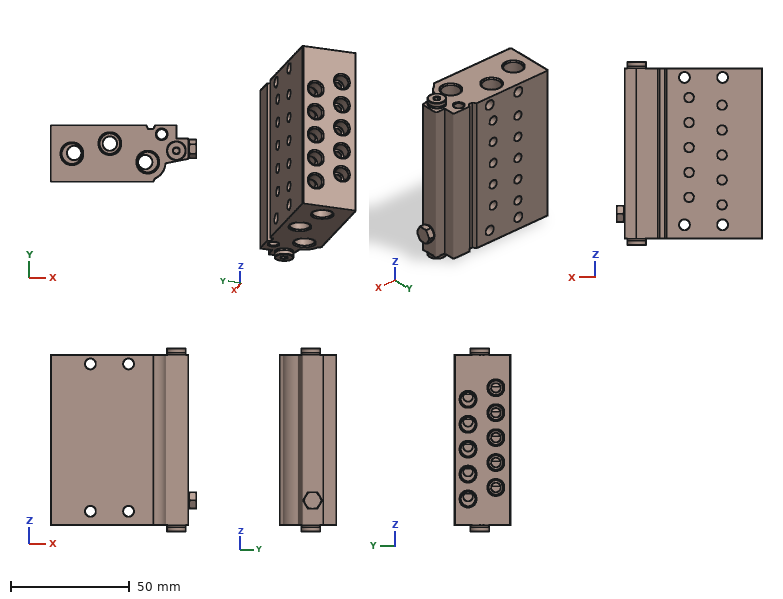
import cadquery as cq
import math


TOTAL_LENGTH = 77.0
PLUG_HEIGHT = 2.7
BLOCK_BOTTOM = PLUG_HEIGHT
BLOCK_TOP = TOTAL_LENGTH - PLUG_HEIGHT
BLOCK_LENGTH = BLOCK_TOP - BLOCK_BOTTOM
MID_Z = TOTAL_LENGTH / 2
THICKNESS = 23.9
TOTAL_WIDTH = 61.2

SHOULDER_X = 53.0
BOSS_X = 57.8
BOSS_BACK_Y = 18.3
BOSS_FRONT_Y = 9.6
BOSS_ROOT_Y = 7.8
FRONT_END_X = 43.05
PORT_WALL_START_X = 43.9
PORT_WALL_RADIUS = 7.55
CORNER_RADIUS = 0.55
VALLEY_RADIUS = 0.4
EDGE_CHAMFER_X = 0.3
EDGE_CHAMFER_Y = 0.5

GROOVE_X = 42.05
GROOVE_MOUTH = 3.85
GROOVE_FLOOR = 2.0
GROOVE_DEPTH = 1.6

END_PORTS = [
    ((9.85, 12.2), (8.9, 11.85)),
    ((24.9, 16.1), (24.9, 16.1)),
    ((39.7, 8.3), (40.8, 8.3)),
]
PORT_WALL_CENTRE = END_PORTS[-1][1]
PORT_BORE = 5.9
PORT_COUNTERBORE = 8.55
PORT_RIM = 9.7
PORT_COUNTERBORE_DEPTH = 6.9

PILOT_CENTRE = (46.7, 20.0)
PILOT_BORE = 4.2
PILOT_RIM = 5.0

MOUNT_DIAMETER = 4.5
MOUNT_XS = (16.7, 32.7)
MOUNT_ZS = (8.55, 70.45)

OUTLET_COUNT = 5
OUTLET_PITCH = 10.5
OUTLET_COUNTERBORE = 6.0
OUTLET_RIM = 7.2
OUTLET_COUNTERBORE_DEPTH = 6.15
OUTLET_BORE = 4.0
CHANNEL_DIAMETER = 4.0
CHANNEL_OVERRUN = 1.7

FRONT_OUTLET_Y = 6.3
FRONT_OUTLET_Z = 18.55
FRONT_BORE_RISE = 0
FRONT_CHANNEL = (30.8, 1.55)

BACK_OUTLET_Y = 18.0
BACK_OUTLET_Z = 13.7
BACK_BORE_RISE = (OUTLET_COUNTERBORE - OUTLET_BORE) / 2
BACK_CHANNEL = (16.95, 2.2)

PLUG_CENTRE = (52.8, 13.1)
PLUG_DIAMETER = 8.0
PLUG_COLLAR_DIAMETER = 7.9
PLUG_COLLAR_HEIGHT = 0.85
PLUG_CHAMFER = 0.2
SOCKET_RIM = 3.0
SOCKET_FLATS = 2.5
SOCKET_DEPTH = 2.3

HEX_CENTRE_Y = 13.85
HEX_CENTRE_Z = 13.1
HEX_FLATS = 6.9
HEX_CORNERS = HEX_FLATS / math.cos(math.pi / 6)
HEX_COLLAR_DIAMETER = HEX_FLATS
HEX_COLLAR_LENGTH = 0.4
HEX_CHAMFER = 0.3


def cylinder(base, direction, diameter, length):
    """Cylinder from a base point along a direction."""
    solid = cq.Solid.makeCylinder(diameter / 2, length, cq.Vector(*base), cq.Vector(*direction))
    return cq.Workplane(obj=solid)


def rim_cone(base, direction, rim, bore):
    """45-degree countersink that narrows from the rim to the bore diameter."""
    depth = (rim - bore) / 2
    solid = cq.Solid.makeCone(rim / 2, bore / 2, depth, cq.Vector(*base), cq.Vector(*direction))
    return cq.Workplane(obj=solid)


def make_profile():
    """Extruded cross section with its round wall around the last end port."""
    centre_x, centre_y = PORT_WALL_CENTRE

    def wall_point(angle):
        x = centre_x + PORT_WALL_RADIUS * math.cos(angle)
        y = centre_y + PORT_WALL_RADIUS * math.sin(angle)
        return (x, y)

    start_angle = -math.acos((PORT_WALL_START_X - centre_x) / PORT_WALL_RADIUS)
    end_angle = math.asin((BOSS_ROOT_Y - centre_y) / PORT_WALL_RADIUS)
    body = (
        cq.Workplane("XY", origin=(0, 0, BLOCK_BOTTOM))
        .moveTo(EDGE_CHAMFER_X, 0)
        .lineTo(FRONT_END_X, 0)
        .lineTo(*wall_point(start_angle))
        .threePointArc(wall_point((start_angle + end_angle) / 2), wall_point(end_angle))
        .lineTo(BOSS_X, BOSS_FRONT_Y)
        .lineTo(BOSS_X, BOSS_BACK_Y)
        .lineTo(SHOULDER_X, BOSS_BACK_Y)
        .lineTo(SHOULDER_X, THICKNESS)
        .lineTo(EDGE_CHAMFER_X, THICKNESS)
        .lineTo(0, THICKNESS - EDGE_CHAMFER_Y)
        .lineTo(0, EDGE_CHAMFER_Y)
        .close()
        .extrude(BLOCK_LENGTH)
    )
    corners = [(BOSS_X, BOSS_FRONT_Y), (BOSS_X, BOSS_BACK_Y), (SHOULDER_X, THICKNESS)]
    valleys = [wall_point(start_angle), wall_point(end_angle)]
    for points, radius in ((corners, CORNER_RADIUS), (valleys, VALLEY_RADIUS)):
        for x, y in points:
            nearest = cq.selectors.NearestToPointSelector((x, y, MID_Z))
            body = body.edges(nearest).fillet(radius)
    return body


def make_groove():
    """Trapezoidal groove along the back face."""
    floor_y = THICKNESS - GROOVE_DEPTH
    return (
        cq.Workplane("XY", origin=(0, 0, BLOCK_BOTTOM))
        .polyline([
            (GROOVE_X - GROOVE_MOUTH / 2, THICKNESS),
            (GROOVE_X - GROOVE_FLOOR / 2, floor_y),
            (GROOVE_X + GROOVE_FLOOR / 2, floor_y),
            (GROOVE_X + GROOVE_MOUTH / 2, THICKNESS),
        ])
        .close()
        .extrude(BLOCK_LENGTH)
    )


def make_end_port(bore_centre, counterbore_centre):
    """Through bore with an offset, countersunk counterbore at both ends."""
    port = cylinder((*bore_centre, BLOCK_BOTTOM), (0, 0, 1), PORT_BORE, BLOCK_LENGTH)
    for end_z, inward in ((BLOCK_BOTTOM, 1), (BLOCK_TOP, -1)):
        mouth = (*counterbore_centre, end_z)
        axis = (0, 0, inward)
        port = port.union(cylinder(mouth, axis, PORT_COUNTERBORE, PORT_COUNTERBORE_DEPTH))
        port = port.union(rim_cone(mouth, axis, PORT_RIM, PORT_COUNTERBORE))
    return port


def make_pilot_hole():
    """Through hole along the length, countersunk at both ends."""
    hole = cylinder((*PILOT_CENTRE, BLOCK_BOTTOM), (0, 0, 1), PILOT_BORE, BLOCK_LENGTH)
    for end_z, inward in ((BLOCK_BOTTOM, 1), (BLOCK_TOP, -1)):
        hole = hole.union(rim_cone((*PILOT_CENTRE, end_z), (0, 0, inward), PILOT_RIM, PILOT_BORE))
    return hole


def make_outlet(y, z, bore_rise, channel_x, channel_rise):
    """Countersunk counterbore and bore along X, met by a channel from the back face."""
    axis = (1, 0, 0)
    bore_z = z + bore_rise
    bore_length = channel_x + CHANNEL_OVERRUN
    channel_length = THICKNESS - y + OUTLET_BORE / 2
    channel_mouth = (channel_x, THICKNESS, bore_z + channel_rise)
    return (
        cylinder((0, y, z), axis, OUTLET_COUNTERBORE, OUTLET_COUNTERBORE_DEPTH)
        .union(rim_cone((0, y, z), axis, OUTLET_RIM, OUTLET_COUNTERBORE))
        .union(cylinder((0, y, bore_z), axis, OUTLET_BORE, bore_length))
        .union(cylinder(channel_mouth, (0, -1, 0), CHANNEL_DIAMETER, channel_length))
    )


def make_block():
    block = make_profile().cut(make_groove()).cut(make_pilot_hole())
    for bore_centre, counterbore_centre in END_PORTS:
        block = block.cut(make_end_port(bore_centre, counterbore_centre))
    for x in MOUNT_XS:
        for z in MOUNT_ZS:
            block = block.cut(cylinder((x, 0, z), (0, 1, 0), MOUNT_DIAMETER, THICKNESS))
    for index in range(OUTLET_COUNT):
        front_z = FRONT_OUTLET_Z + index * OUTLET_PITCH
        back_z = BACK_OUTLET_Z + index * OUTLET_PITCH
        block = block.cut(make_outlet(FRONT_OUTLET_Y, front_z, FRONT_BORE_RISE, *FRONT_CHANNEL))
        block = block.cut(make_outlet(BACK_OUTLET_Y, back_z, BACK_BORE_RISE, *BACK_CHANNEL))
    return block


def make_round_plug():
    """Plug standing on the plane Z = 0 with a countersunk hexagonal socket in its top."""
    collar = cq.Workplane("XY").circle(PLUG_COLLAR_DIAMETER / 2).extrude(PLUG_COLLAR_HEIGHT)
    head = (
        cq.Workplane("XY", origin=(0, 0, PLUG_COLLAR_HEIGHT))
        .circle(PLUG_DIAMETER / 2)
        .extrude(PLUG_HEIGHT - PLUG_COLLAR_HEIGHT)
        .faces(">Z")
        .edges()
        .chamfer(PLUG_CHAMFER)
    )
    socket = (
        cq.Workplane("XY", origin=(0, 0, PLUG_HEIGHT - SOCKET_DEPTH))
        .polygon(6, SOCKET_FLATS, circumscribed=True)
        .extrude(SOCKET_DEPTH)
    )
    socket_rim = rim_cone((0, 0, PLUG_HEIGHT), (0, 0, -1), SOCKET_RIM, SOCKET_FLATS)
    return collar.union(head).cut(socket).cut(socket_rim)


def make_round_plugs():
    """One plug on each end of the block, facing outwards."""
    plugs = []
    for end_z, tilt in ((BLOCK_BOTTOM, 180), (BLOCK_TOP, 0)):
        plug = make_round_plug().rotate((0, 0, 0), (1, 0, 0), tilt)
        plugs.append(plug.translate((*PLUG_CENTRE, end_z)))
    return plugs


def make_hex_plug():
    """Hexagonal head on a round collar, seated on the boss face with corners along Y."""
    head_x = BOSS_X + HEX_COLLAR_LENGTH
    head_length = TOTAL_WIDTH - head_x
    centre = (HEX_CENTRE_Y, HEX_CENTRE_Z)
    collar = cylinder((BOSS_X, *centre), (1, 0, 0), HEX_COLLAR_DIAMETER, HEX_COLLAR_LENGTH)
    prism = (
        cq.Workplane("YZ", origin=(head_x, *centre))
        .polygon(6, HEX_CORNERS)
        .extrude(head_length)
    )
    corner_cut = (
        cylinder((head_x, *centre), (1, 0, 0), HEX_CORNERS, head_length)
        .faces("<X or >X")
        .edges()
        .chamfer(HEX_CHAMFER)
    )
    return collar.union(prism.intersect(corner_cut))


block = make_block()
round_plugs = make_round_plugs()
hex_plug = make_hex_plug()

result = cq.Compound.makeCompound([
    block.val(),
    *[plug.val() for plug in round_plugs],
    hex_plug.val(),
])